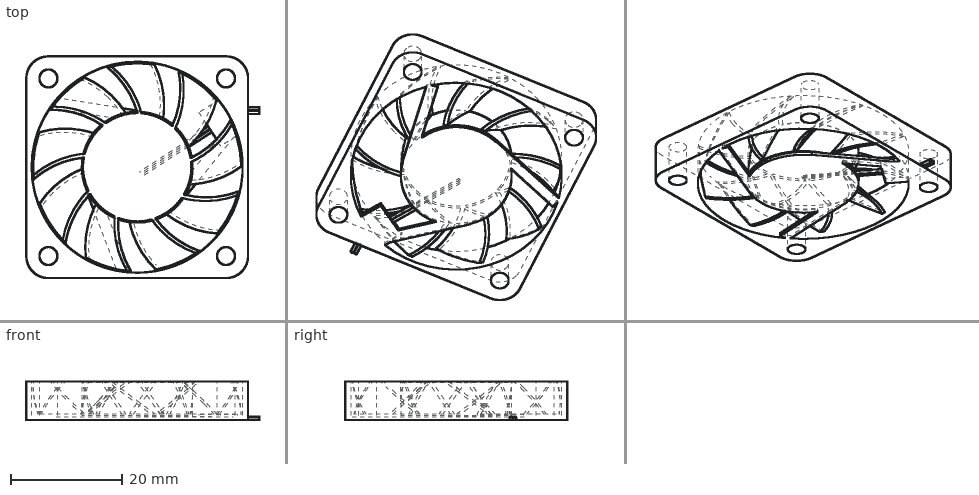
import cadquery as cq
import math

frame_width = 40.0
frame_height = 7.0
corner_radius = 4.0
bore_diameter = 38.0
mount_hole_diameter = 3.2
mount_hole_spacing = 32.0

base_diameter = 20.0
base_height = 0.6
strut_count = 3
strut_width = 2.0
strut_outer_offset = 10.1
strut_first_angle = 51.0

wire_count = 2
wire_diameter = 0.6
wire_spacing = 0.65
wire_axis_height = 0.35
wire_stub_length = 2.0
wire_exit_y = 10.2
wire_run_angle = 33.0
wire_run_offset = -1.4
ledge_height = 1.0
ledge_width = 7.2
ledge_inner_distance = 14.7

hub_diameter = 20.0
hub_chamfer = 0.25
hub_base_gap = 0.2
blade_count = 9
blade_tip_clearance = 0.25
blade_thickness = 0.75
blade_bottom = 1.15
blade_twist = 24.0
blade_root_radius = 9.0
blade_middle_radius = 15.0
blade_root_angle = 86.3
blade_middle_angle = 97.7
blade_tip_angle = 105.5

bore_radius = bore_diameter / 2
hub_radius = hub_diameter / 2
hub_bottom = base_height + hub_base_gap
tip_radius = bore_radius - blade_tip_clearance
wall_overlap = 0.5
full_turn = 360.0


def polar(radius, angle):
    """Point at a radius and an angle in degrees."""
    return (radius * math.cos(math.radians(angle)), radius * math.sin(math.radians(angle)))


def make_frame():
    """Square frame with a round bore and four mounting holes."""
    return (
        cq.Workplane("XY")
        .rect(frame_width, frame_width)
        .extrude(frame_height)
        .edges("|Z")
        .fillet(corner_radius)
        .faces(">Z")
        .workplane()
        .hole(bore_diameter)
        .faces(">Z")
        .workplane()
        .rect(mount_hole_spacing, mount_hole_spacing, forConstruction=True)
        .vertices()
        .hole(mount_hole_diameter)
    )


def make_strut(angle):
    """Flat bar that leaves the base almost tangentially and ends in the frame wall."""
    center_offset = strut_width / 2 - strut_outer_offset
    length = math.sqrt(bore_radius**2 - strut_outer_offset**2) + wall_overlap
    return (
        cq.Workplane("XY")
        .center(length / 2, center_offset)
        .rect(length, strut_width)
        .extrude(base_height)
        .rotate((0, 0, 0), (0, 0, 1), angle)
    )


def make_ledge():
    """Flat ledge on the bore wall over the wires."""
    block = (
        cq.Workplane("XY")
        .center(ledge_inner_distance + bore_radius / 2, wire_run_offset)
        .rect(bore_radius, ledge_width)
        .extrude(ledge_height)
        .rotate((0, 0, 0), (0, 0, 1), wire_run_angle)
    )
    limit = cq.Workplane("XY").circle(bore_radius + wall_overlap).extrude(ledge_height)
    return block.intersect(limit)


def make_wire(side_shift):
    """One wire: a straight run from the base to the bore wall and a stub outside the frame."""
    run = (
        cq.Workplane("YZ")
        .center(wire_run_offset + side_shift, wire_axis_height)
        .circle(wire_diameter / 2)
        .extrude(bore_radius)
        .rotate((0, 0, 0), (0, 0, 1), wire_run_angle)
    )
    stub_start = frame_width / 2 - wall_overlap
    stub = (
        cq.Workplane("YZ", origin=(stub_start, 0, 0))
        .center(wire_exit_y + side_shift, wire_axis_height)
        .circle(wire_diameter / 2)
        .extrude(wire_stub_length + wall_overlap)
    )
    return run, stub


def make_housing():
    """Frame, struts, motor base, ledge and wires as one solid."""
    housing = make_frame()
    housing = housing.union(cq.Workplane("XY").circle(base_diameter / 2).extrude(base_height))
    for index in range(strut_count):
        housing = housing.union(make_strut(strut_first_angle + index * full_turn / strut_count))
    housing = housing.union(make_ledge())
    for index in range(wire_count):
        side_shift = (index - (wire_count - 1) / 2) * wire_spacing
        run, stub = make_wire(side_shift)
        housing = housing.union(run).union(stub)
    return housing


def make_blade():
    """Curved blade that twists about the fan axis over its height."""

    def edge_point(radius, angle, side):
        """Point half a thickness to one side of the blade's middle line."""
        half_angle = math.degrees(blade_thickness / 2 / radius)
        return polar(radius, angle + side * half_angle)

    profile = (
        cq.Workplane("XY")
        .moveTo(*edge_point(blade_root_radius, blade_root_angle, 1))
        .threePointArc(edge_point(blade_middle_radius, blade_middle_angle, 1),
                       edge_point(tip_radius, blade_tip_angle, 1))
        .lineTo(*edge_point(tip_radius, blade_tip_angle, -1))
        .threePointArc(edge_point(blade_middle_radius, blade_middle_angle, -1),
                       edge_point(blade_root_radius, blade_root_angle, -1))
        .close()
    )
    return (
        profile.twistExtrude(frame_height - blade_bottom, blade_twist)
        .rotate((0, 0, 0), (0, 0, 1), -blade_twist)
        .translate((0, 0, blade_bottom))
    )


def make_impeller():
    """Hub with a chamfered top and a ring of equal blades."""
    impeller = (
        cq.Workplane("XY", origin=(0, 0, hub_bottom))
        .circle(hub_radius)
        .extrude(frame_height - hub_bottom)
        .faces(">Z")
        .chamfer(hub_chamfer)
    )
    blade = make_blade()
    for index in range(blade_count):
        impeller = impeller.union(blade.rotate((0, 0, 0), (0, 0, 1), index * full_turn / blade_count))
    return impeller


housing = make_housing()
impeller = make_impeller()
result = cq.Compound.makeCompound([housing.val(), impeller.val()])